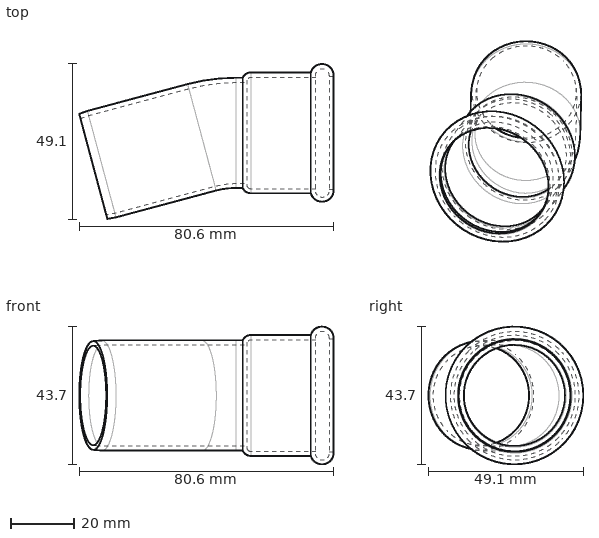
import cadquery as cq
import math

overall_length = 80.6

pipe_radius = 35.0 / 2
pipe_bore_radius = 32.0 / 2
wall = pipe_radius - pipe_bore_radius
bend_angle = 15.0
bend_radius = 41.5

tip_radius = 34.5 / 2
tip_bore_radius = tip_radius - wall
tip_length = 2.7

socket_radius = 38.4 / 2
socket_bore_radius = 35.4 / 2
shoulder_distance = 29.1
shoulder_corner_radius = 2.9
bend_start_distance = 31.0

bead_outer_radius = 43.7 / 2
bead_width = 7.4
bead_section_radius = bead_width / 2
bead_ring_radius = bead_outer_radius - bead_section_radius
mouth_radius = 35.8 / 2

mouth_x = bend_start_distance
shoulder_x = mouth_x - shoulder_distance
bead_x = mouth_x - bead_section_radius

angle = math.radians(bend_angle)
bend_end_x = -bend_radius * math.sin(angle)
bend_end_y = -bend_radius * (1 - math.cos(angle))
spigot_end_x = mouth_x - overall_length + tip_radius * math.sin(angle)
spigot_length = (bend_end_x - spigot_end_x) / math.cos(angle)


def revolve_about_x(profile):
    return profile.close().revolve(360, (0, 0, 0), (1, 0, 0))


def bend(radius):
    return (
        cq.Workplane("YZ")
        .circle(radius)
        .revolve(bend_angle, (-bend_radius, 0, 0), (-bend_radius, 1, 0))
    )


def spigot(radius, end_radius):
    """Straight pipe with a slightly conical tip, in line with the end of the bend."""
    straight = revolve_about_x(
        cq.Workplane("XY")
        .lineTo(0, radius)
        .lineTo(tip_length - spigot_length, radius)
        .lineTo(-spigot_length, end_radius)
        .lineTo(-spigot_length, 0)
    )
    turned = straight.rotate((0, 0, 0), (0, 0, 1), bend_angle)
    return turned.translate((bend_end_x, bend_end_y, 0))


def socket(neck_radius, body_radius, corner_radius, face_x):
    """Short neck running into a wider body with a rounded shoulder, up to the bead."""
    corner_x = face_x + corner_radius
    corner_center_radius = body_radius - corner_radius
    arc_middle_offset = corner_radius * math.sqrt(0.5)
    neck = cq.Workplane("YZ").circle(neck_radius).extrude(corner_x)
    body = revolve_about_x(
        cq.Workplane("XY")
        .moveTo(face_x, 0)
        .lineTo(face_x, corner_center_radius)
        .threePointArc(
            (corner_x - arc_middle_offset, corner_center_radius + arc_middle_offset),
            (corner_x, body_radius),
        )
        .lineTo(bead_x, body_radius)
        .lineTo(bead_x, 0)
    )
    return neck.union(body)


def bead(section_radius):
    """Disc with a half-round rim, centred on the bead."""
    return revolve_about_x(
        cq.Workplane("XY")
        .moveTo(bead_x - section_radius, 0)
        .lineTo(bead_x - section_radius, bead_ring_radius)
        .threePointArc(
            (bead_x, bead_ring_radius + section_radius),
            (bead_x + section_radius, bead_ring_radius),
        )
        .lineTo(bead_x + section_radius, 0)
    )


outside = (
    socket(pipe_radius, socket_radius, shoulder_corner_radius, shoulder_x)
    .union(bead(bead_section_radius))
    .union(bend(pipe_radius))
    .union(spigot(pipe_radius, tip_radius))
)

mouth = cq.Workplane("YZ", origin=(bead_x, 0, 0)).circle(mouth_radius).extrude(bead_section_radius)
bore = (
    socket(pipe_bore_radius, socket_bore_radius, shoulder_corner_radius - wall, shoulder_x + wall)
    .union(bead(bead_section_radius - wall))
    .union(mouth)
    .union(bend(pipe_bore_radius))
    .union(spigot(pipe_bore_radius, tip_bore_radius))
)

result = outside.cut(bore)